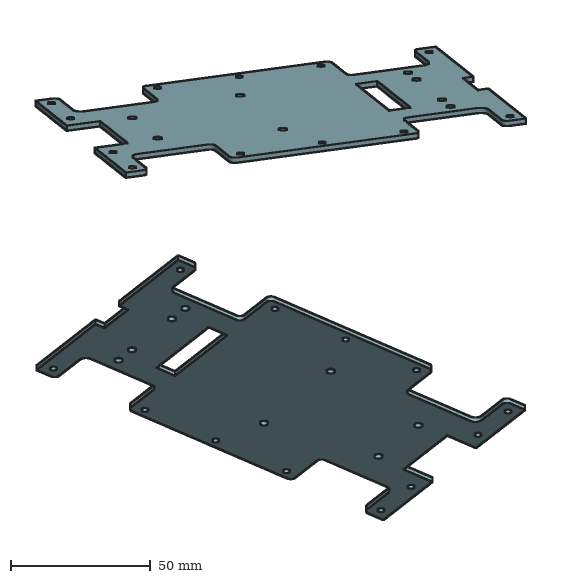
import cadquery as cq

length = 155.0
width = 85.0
thickness = 2.0
waist_width = 50.5
body_length = 73.2
arm_depth = 8.7

corner_radius = 2.0
arm_root_radius = 3.0

rear_notch_width = 14.0
rear_notch_depth = 4.0
front_notch_width = 26.0
front_notch_depth = 12.9
window_width = 31.2
window_length = 8.2
window_y = 39.7

small_diameter = 2.5
large_diameter = 3.0
arm_hole_x = 38.0
arm_hole_y = (length - arm_depth) / 2
body_hole_x = 38.9
body_hole_pitch = 31.6
outer_mount_x = 20.0
inner_mount_x = 12.0
rear_mount_y = 57.5
middle_mount_y = -7.5
front_mount_y = -52.5

small_hole_positions = [
    (arm_hole_x, arm_hole_y),
    (arm_hole_x, -arm_hole_y),
    (outer_mount_x, -arm_hole_y),
    (body_hole_x, body_hole_pitch),
    (body_hole_x, 0),
    (body_hole_x, -body_hole_pitch),
]
large_hole_positions = [
    (outer_mount_x, rear_mount_y),
    (inner_mount_x, rear_mount_y),
    (outer_mount_x, middle_mount_y),
    (inner_mount_x, front_mount_y),
]


def slab(size_x, size_y, center_y=0):
    """Full-thickness rectangular block centred on X, standing on the XY plane."""
    return (
        cq.Workplane("XY")
        .center(0, center_y)
        .rect(size_x, size_y)
        .extrude(thickness)
    )


def round_mirrored_corners(plate, x, y, radius):
    """Fillet the four vertical edges at (+-x, +-y)."""
    for side in (-1, 1):
        for end in (-1, 1):
            corner = (side * x, end * y, thickness / 2)
            plate = plate.edges(cq.selectors.NearestToPointSelector(corner)).fillet(radius)
    return plate


def make_outline():
    plate = slab(waist_width, length).union(slab(width, body_length))
    for end in (-1, 1):
        plate = plate.union(slab(width, arm_depth, end * arm_hole_y))

    arm_inner_y = length / 2 - arm_depth
    plate = round_mirrored_corners(plate, width / 2, arm_inner_y, corner_radius)
    plate = round_mirrored_corners(plate, waist_width / 2, arm_inner_y, arm_root_radius)
    for x in (width / 2, waist_width / 2):
        plate = round_mirrored_corners(plate, x, body_length / 2, corner_radius)
    return plate


def cut_openings(plate):
    rear_notch_y = (length - rear_notch_depth) / 2
    front_notch_y = (front_notch_depth - length) / 2
    plate = plate.cut(slab(rear_notch_width, rear_notch_depth, rear_notch_y))
    plate = plate.cut(slab(front_notch_width, front_notch_depth, front_notch_y))
    return plate.cut(slab(window_width, window_length, window_y))


def drill_mirrored(plate, positions, diameter):
    points = [(side * x, y) for x, y in positions for side in (-1, 1)]
    drills = cq.Workplane("XY").pushPoints(points).circle(diameter / 2).extrude(thickness)
    return plate.cut(drills)


result = cut_openings(make_outline())
result = drill_mirrored(result, small_hole_positions, small_diameter)
result = drill_mirrored(result, large_hole_positions, large_diameter)